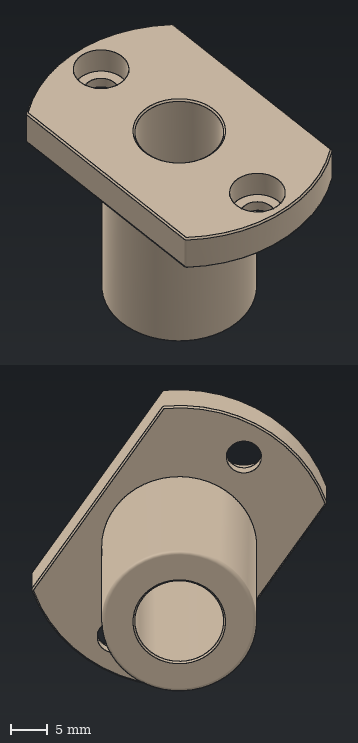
import cadquery as cq

flange_diameter = 42.0
flange_width = 26.5
flange_thickness = 5.63
flange_chamfer = 0.25
flange_corner_radius = 0.5

total_height = 29.7
sleeve_diameter = 21.0
sleeve_fillet = 0.5

bore_diameter = 12.0
bore_chamfer = 0.25

screw_spacing = 32.0
screw_diameter = 4.7
head_diameter = 7.5
head_depth = 4.0


def make_flange():
    """Two-flat disc with its top face at Z = 0, rounded corners and chamfered rims."""
    disc = cq.Workplane("XY").circle(flange_diameter / 2).extrude(-flange_thickness)
    flats = cq.Workplane("XY").rect(flange_diameter, flange_width).extrude(-flange_thickness)
    plate = disc.intersect(flats).edges("|Z and (>Y or <Y)").fillet(flange_corner_radius)
    return plate.faces("<Z or >Z").edges().chamfer(flange_chamfer)


def make_sleeve():
    """Cylinder from the flange top down to the rounded lower end."""
    sleeve = cq.Workplane("XY").circle(sleeve_diameter / 2).extrude(-total_height)
    return sleeve.faces("<Z").edges().fillet(sleeve_fillet)


def cut_bore(body):
    """Through bore with a chamfered mouth at each end."""
    radius = bore_diameter / 2
    mouth_radius = radius + bore_chamfer
    profile = [
        (0, 0),
        (mouth_radius, 0),
        (radius, -bore_chamfer),
        (radius, bore_chamfer - total_height),
        (mouth_radius, -total_height),
        (0, -total_height),
    ]
    return body.cut(cq.Workplane("XZ").polyline(profile).close().revolve())


def cut_screw_holes(body):
    """Counterbored holes on the X axis, one on each side of the bore."""
    return (
        body.faces(">Z")
        .workplane(origin=(0, 0, 0))
        .pushPoints([(-screw_spacing / 2, 0), (screw_spacing / 2, 0)])
        .cboreHole(screw_diameter, head_diameter, head_depth)
    )


result = cut_screw_holes(cut_bore(make_flange().union(make_sleeve())))